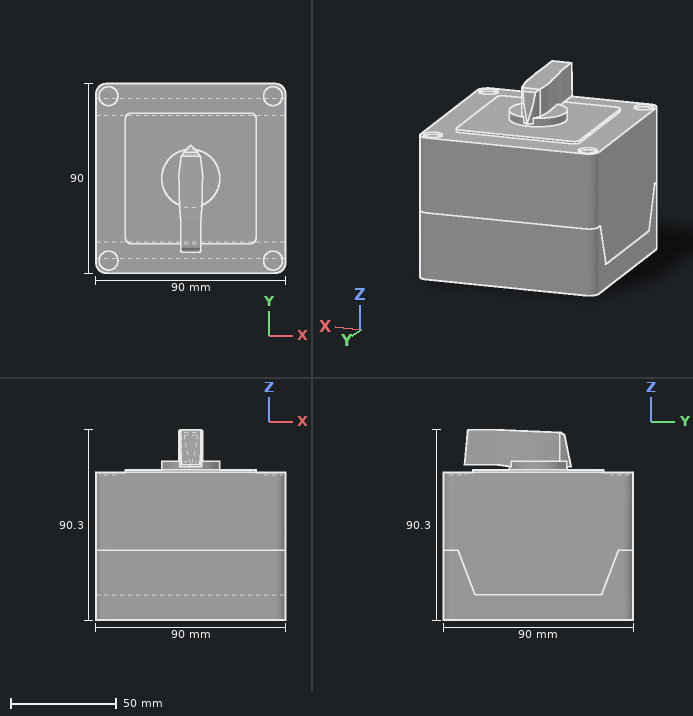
import cadquery as cq

BOX_SIDE = 90.0
BOX_HEIGHT = 70.0
BOX_CORNER_RADIUS = 5.0

SPLIT_HEIGHT = 33.0
TONGUE_BOTTOM = 12.0
TONGUE_TOP_HALF = 38.0
TONGUE_BOTTOM_HALF = 30.0

RECESS_DIAMETER = 9.0
RECESS_DEPTH = 1.0
RECESS_SPACING = 78.0

PLATE_SIDE = 62.0
PLATE_THICKNESS = 1.2
PLATE_CORNER_RADIUS = 2.8
PLATE_TOP = BOX_HEIGHT + PLATE_THICKNESS

DISC_RADIUS = 13.8
DISC_TOP = 75.4
KNOB_TOP = 90.3

POINTER_Y = 15.6
NOSE_Y = 13.6
NOSE_HALF = 2.4
SHOULDER_Y = 10.2
SHOULDER_HALF = 4.6
BULGE_FRONT_Y = 2.5
BULGE_BACK_Y = -1.4
BULGE_MIDDLE_Y = (BULGE_FRONT_Y + BULGE_BACK_Y) / 2
BULGE_END_HALF = 5.55
BULGE_HALF = 5.65
TAIL_START_Y = -12.8
TAIL_START_HALF = 5.3
TAIL_HALF = 4.8
TAIL_TAPER_Y = -31.5
TAIL_END_HALF = 4.75
TAIL_END_Y = -35.0
TAIL_CORNER_RADIUS = 0.8

GRIP_BOTTOM = 72.7
TAIL_BOTTOM = 73.65
POINTER_FACE_TOP_Y = 12.5
POINTER_FACE_TOP = 87.8
NOSE_CHAMFER_TOP_Y = 10.6
NOSE_CHAMFER_TOP = 89.0
TOP_FLAT_Y = -19.9
TAIL_FACE_TOP_Y = -33.5
TAIL_TOP_RADIUS = 0.9


def rounded_square(side, bottom, height, corner_radius):
    """Square block centred on Z with rounded upright corners."""
    block = cq.Workplane("XY").workplane(offset=bottom).rect(side, side).extrude(height)
    return block.edges("|Z").fillet(corner_radius)


def base_region():
    """Block below the parting line, as long as the box along X."""
    half = BOX_SIDE / 2
    return (
        cq.Workplane("YZ")
        .workplane(offset=-half)
        .moveTo(-half, 0)
        .lineTo(half, 0)
        .lineTo(half, SPLIT_HEIGHT)
        .lineTo(TONGUE_TOP_HALF, SPLIT_HEIGHT)
        .lineTo(TONGUE_BOTTOM_HALF, TONGUE_BOTTOM)
        .lineTo(-TONGUE_BOTTOM_HALF, TONGUE_BOTTOM)
        .lineTo(-TONGUE_TOP_HALF, SPLIT_HEIGHT)
        .lineTo(-half, SPLIT_HEIGHT)
        .close()
        .extrude(BOX_SIDE)
    )


def make_base():
    return rounded_square(BOX_SIDE, 0, BOX_HEIGHT, BOX_CORNER_RADIUS).intersect(base_region())


def make_cover():
    recesses = (
        cq.Workplane("XY")
        .workplane(offset=BOX_HEIGHT)
        .rect(RECESS_SPACING, RECESS_SPACING, forConstruction=True)
        .vertices()
        .circle(RECESS_DIAMETER / 2)
        .extrude(-RECESS_DEPTH)
    )
    block = rounded_square(BOX_SIDE, 0, BOX_HEIGHT, BOX_CORNER_RADIUS)
    return block.cut(base_region()).cut(recesses)


def make_plate():
    return rounded_square(PLATE_SIDE, BOX_HEIGHT, PLATE_THICKNESS, PLATE_CORNER_RADIUS)


def grip_plan():
    """Upright prism with the outline of the grip seen along Z."""
    prism = (
        cq.Workplane("XY")
        .workplane(offset=PLATE_TOP)
        .moveTo(0, POINTER_Y)
        .lineTo(NOSE_HALF, NOSE_Y)
        .lineTo(SHOULDER_HALF, SHOULDER_Y)
        .lineTo(BULGE_END_HALF, BULGE_FRONT_Y)
        .threePointArc((BULGE_HALF, BULGE_MIDDLE_Y), (BULGE_END_HALF, BULGE_BACK_Y))
        .lineTo(TAIL_START_HALF, TAIL_START_Y)
        .lineTo(TAIL_HALF, TOP_FLAT_Y)
        .lineTo(TAIL_HALF, TAIL_TAPER_Y)
        .lineTo(TAIL_END_HALF, TAIL_END_Y)
        .lineTo(-TAIL_END_HALF, TAIL_END_Y)
        .lineTo(-TAIL_HALF, TAIL_TAPER_Y)
        .lineTo(-TAIL_HALF, TOP_FLAT_Y)
        .lineTo(-TAIL_START_HALF, TAIL_START_Y)
        .lineTo(-BULGE_END_HALF, BULGE_BACK_Y)
        .threePointArc((-BULGE_HALF, BULGE_MIDDLE_Y), (-BULGE_END_HALF, BULGE_FRONT_Y))
        .lineTo(-SHOULDER_HALF, SHOULDER_Y)
        .lineTo(-NOSE_HALF, NOSE_Y)
        .close()
        .extrude(KNOB_TOP - PLATE_TOP)
    )
    return prism.faces("<Y").edges("|Z").fillet(TAIL_CORNER_RADIUS)


def grip_profile():
    """Bar along X with the side profile of the grip."""
    bar = (
        cq.Workplane("YZ")
        .moveTo(POINTER_Y, GRIP_BOTTOM)
        .lineTo(POINTER_FACE_TOP_Y, POINTER_FACE_TOP)
        .lineTo(NOSE_CHAMFER_TOP_Y, NOSE_CHAMFER_TOP)
        .lineTo(TOP_FLAT_Y, KNOB_TOP)
        .lineTo(TAIL_FACE_TOP_Y, KNOB_TOP)
        .lineTo(TAIL_END_Y, TAIL_BOTTOM)
        .lineTo(TOP_FLAT_Y, TAIL_BOTTOM)
        .lineTo(TAIL_START_Y, GRIP_BOTTOM)
        .close()
        .extrude(BULGE_HALF * 2, both=True)
    )
    top_of_tail = cq.selectors.NearestToPointSelector((0, TAIL_FACE_TOP_Y, KNOB_TOP))
    return bar.edges(top_of_tail).fillet(TAIL_TOP_RADIUS)


def make_knob():
    disc_height = DISC_TOP - PLATE_TOP
    disc = cq.Workplane("XY").workplane(offset=PLATE_TOP).circle(DISC_RADIUS).extrude(disc_height)
    return disc.union(grip_plan().intersect(grip_profile()))


base = make_base()
cover = make_cover()
plate = make_plate()
knob = make_knob()

result = cq.Compound.makeCompound([base.val(), cover.val(), plate.val(), knob.val()])